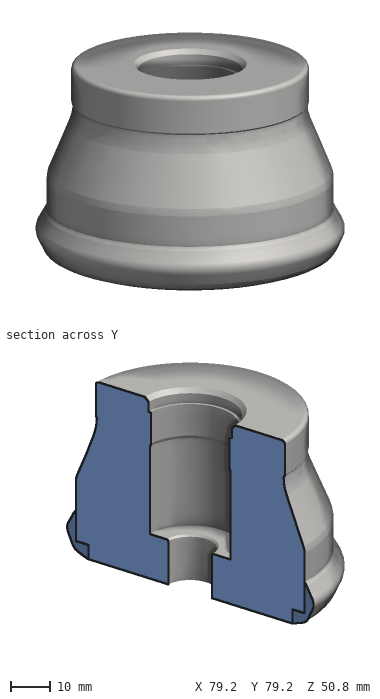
import cadquery as cq
import math

height = 50.8
collar_radius = 30.4
collar_edge_fillet = 1.2
collar_bottom_z = 41.0
collar_bottom_chamfer = 0.5
neck_radius = 30.0
neck_fillet = 12.5
taper_angle = math.radians(22.5)
skirt_radius = 36.7
skirt_top_z = 21.8
skirt_bottom_z = 3.95
shoulder_fillet = 5.0
spigot_radius = 32.8

mouth_radius = 13.3
mouth_chamfer = 1.2
mouth_depth = 3.9
bore_radius = 12.5
bore_depth = 12.75
undercut_radius = 12.8
undercut_taper = 0.9
floor_z = 12.7
through_radius = 6.9
through_chamfer = 0.5

ring_radius = 39.6
ring_top_z = 12.75
ring_shoulder_radius = 37.4
ring_shoulder_z = 11.8
flank_top_z = 10.85
nose_z = 7.2
nose_radius = 3.0
upper_angle = math.radians(30)
lower_angle = math.radians(25)
foot_corner_z = 1.6
foot_fillet = 3.65


def turn(outline):
    """Revolve a closed outline of (radius, height) about the Z axis."""
    return outline.close().revolve(360, (0, 0, 0), (0, 1, 0))


def fillet_circle(body, z, radius):
    """Round the circular edge that lies at height z."""
    reach = 2 * ring_radius
    gap = 0.04
    at_height = cq.selectors.BoxSelector((-reach, -reach, z - gap), (reach, reach, z + gap), boundingbox=True)
    return body.edges(at_height).fillet(radius)


def make_bore():
    """Stepped cutter for the hub: chamfered mouth, undercut bore and through hole."""
    mouth_floor_z = height - mouth_depth
    undercut_z = height - bore_depth
    outline = cq.Workplane("XZ").polyline([
        (0, 0),
        (through_radius, 0),
        (through_radius, floor_z - through_chamfer),
        (through_radius + through_chamfer, floor_z),
        (undercut_radius, floor_z),
        (undercut_radius, undercut_z - undercut_taper),
        (bore_radius, undercut_z),
        (bore_radius, mouth_floor_z),
        (mouth_radius, mouth_floor_z),
        (mouth_radius, height - mouth_chamfer),
        (mouth_radius + mouth_chamfer, height),
        (0, height),
    ])
    return turn(outline)


def make_hub():
    neck_z = skirt_top_z + (skirt_radius - neck_radius) / math.tan(taper_angle)
    outline = cq.Workplane("XZ").polyline([
        (0, 0),
        (spigot_radius, 0),
        (spigot_radius, skirt_bottom_z),
        (skirt_radius, skirt_bottom_z),
        (skirt_radius, skirt_top_z),
        (neck_radius, neck_z),
        (neck_radius, collar_bottom_z - collar_bottom_chamfer),
        (collar_radius, collar_bottom_z),
        (collar_radius, height),
        (0, height),
    ])
    hub = turn(outline)
    hub = fillet_circle(hub, skirt_top_z, shoulder_fillet)
    hub = fillet_circle(hub, neck_z, neck_fillet)
    hub = fillet_circle(hub, height, collar_edge_fillet)
    return hub.cut(make_bore())


def nose_point(angle):
    """Point of the ring's rounded nose at an angle above the horizontal."""
    nose_center_radius = ring_radius - nose_radius
    return (nose_center_radius + nose_radius * math.cos(angle), nose_z + nose_radius * math.sin(angle))


def make_ring():
    upper_radius, upper_z = nose_point(upper_angle)
    lower_radius, lower_z = nose_point(-lower_angle)
    flank_top_radius = upper_radius - (flank_top_z - upper_z) * math.tan(upper_angle)
    foot_corner_radius = lower_radius - (lower_z - foot_corner_z) * math.tan(lower_angle)

    outline = (
        cq.Workplane("XZ")
        .moveTo(spigot_radius, 0)
        .lineTo(foot_corner_radius, foot_corner_z)
        .lineTo(lower_radius, lower_z)
        .threePointArc(nose_point(0), (upper_radius, upper_z))
        .lineTo(flank_top_radius, flank_top_z)
        .lineTo(ring_shoulder_radius, ring_shoulder_z)
        .lineTo(skirt_radius, ring_top_z)
        .lineTo(skirt_radius, skirt_bottom_z)
        .lineTo(spigot_radius, skirt_bottom_z)
    )
    return fillet_circle(turn(outline), foot_corner_z, foot_fillet)


hub = make_hub()
ring = make_ring()
result = cq.Compound.makeCompound([hub.val(), ring.val()])